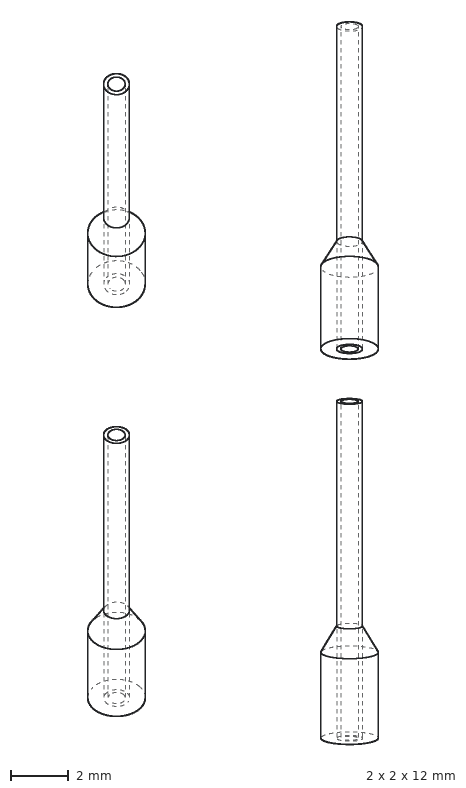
import cadquery as cq

total_length = 12.0
collar_diameter = 2.0
collar_height = 4.0
cone_height = 0.94
tube_diameter = 0.9
bore_diameter = 0.6

collar_radius = collar_diameter / 2
tube_radius = tube_diameter / 2
cylinder_height = collar_height - cone_height


def make_tube():
    """Straight open tube that runs the whole length of the ferrule."""
    return (
        cq.Workplane("XY")
        .circle(tube_radius)
        .circle(bore_diameter / 2)
        .extrude(total_length)
    )


def make_collar():
    """Sleeve around the lower tube, tapering at its top to the tube surface."""
    half_section = [
        (tube_radius, 0),
        (collar_radius, 0),
        (collar_radius, cylinder_height),
        (tube_radius, collar_height),
    ]
    return (
        cq.Workplane("XZ")
        .polyline(half_section)
        .close()
        .revolve(360, (0, 0, 0), (0, 1, 0))
    )


tube = make_tube()
collar = make_collar()

result = cq.Compound.makeCompound([tube.val(), collar.val()])